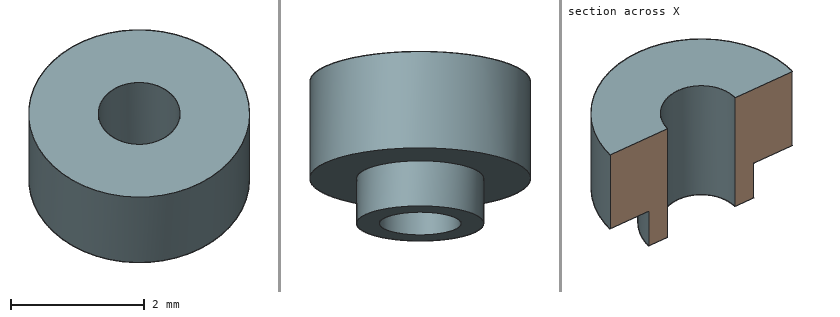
import cadquery as cq

total_height = 2.2
body_diameter = 3.3
body_height = 1.5
spigot_diameter = 1.9
bore_diameter = 1.22

spigot_height = total_height - body_height


def cylinder(diameter, height, base_z):
    """Upright cylinder on the Z axis, standing on the level base_z."""
    return cq.Workplane("XY").workplane(offset=base_z).circle(diameter / 2).extrude(height)


body = cylinder(body_diameter, body_height, 0)
spigot = cylinder(spigot_diameter, spigot_height, -spigot_height)

bore = cylinder(bore_diameter, total_height, -spigot_height)

result = body.union(spigot).cut(bore)